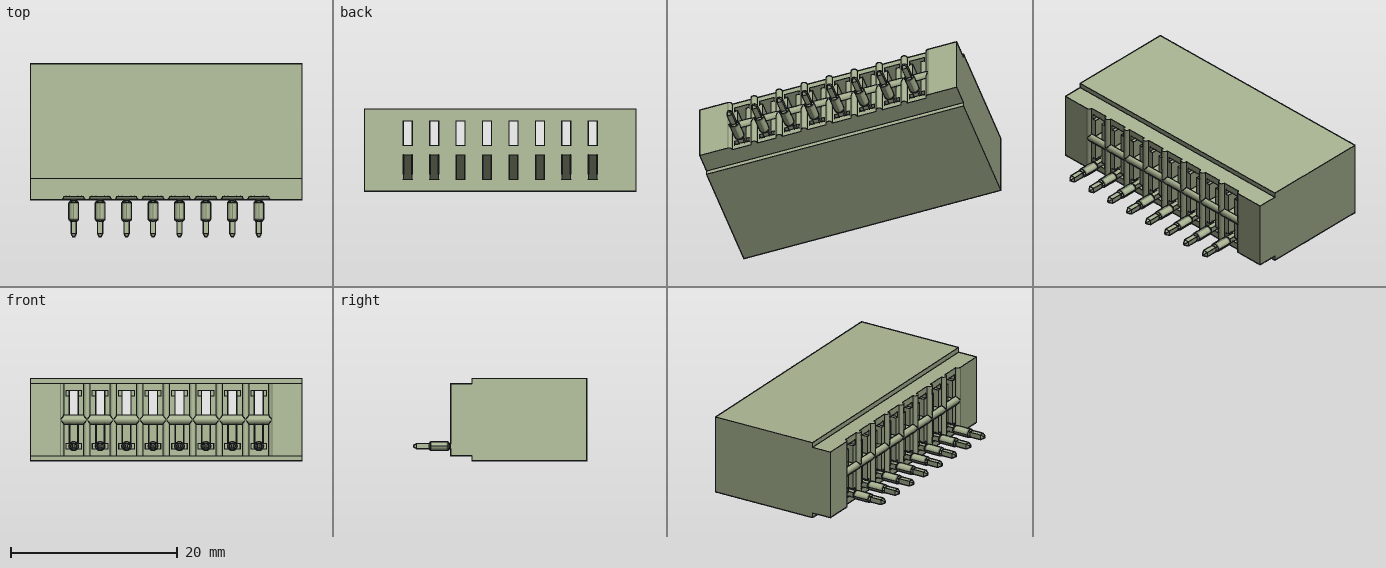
import cadquery as cq


contact_count = 8
pitch = 3.175
row_offset = 3.175
row_length = contact_count * pitch
cell_centres = [(i - (contact_count - 1) / 2) * pitch for i in range(contact_count)]

housing_length = 32.64
housing_height = 9.91
housing_depth = 16.37
step_depth = 2.54
step_drop = 0.62
nose_height = housing_height - 2 * step_drop

recess_depth = 0.42
rib_half_width = 0.39
bar_half_height = 0.57

slot_width = 1.05
arm_width = 1.90
arm_height = 0.64
arm_depth = 3.0
slot_outer = row_offset + arm_height / 2
slot_height = slot_outer - bar_half_height

tail_side = 0.64
tail_length = 4.45
tip_length = 0.38
tip_side = 0.25
collar_half_width = 0.60
collar_half_height = 0.55
collar_flank_bulge = 0.14
collar_start = 0.13
collar_end = 2.60
collar_taper = 0.20
collar_ease = 0.12
collar_ease_scale = 0.95
collar_end_scale = 0.62
contact_side_gap = 0.03
base_front = 1.0
leaf_end = 8.0
leaf_thickness = 0.40


def rounded_ridge(axis_plane, half_width, length):
    """Ridge centred on the plane origin, crest at Y = 0, foot at the recess floor."""
    return (
        cq.Workplane(axis_plane)
        .moveTo(-half_width, recess_depth)
        .threePointArc((0, 0), (half_width, recess_depth))
        .close()
        .extrude(length / 2, both=True)
    )


def box_at(size, centre):
    return cq.Workplane("XY").box(*size).translate(centre)


def make_housing():
    body = box_at(
        (housing_length, housing_depth, housing_height), (0, housing_depth / 2, 0)
    )
    for side in (1, -1):
        rebate_z = side * (housing_height - step_drop) / 2
        body = body.cut(
            box_at((housing_length, step_depth, step_drop), (0, step_depth / 2, rebate_z))
        )

    recess = box_at((row_length, recess_depth, nose_height), (0, recess_depth / 2, 0))
    rib = rounded_ridge("XY", rib_half_width, nose_height)
    for i in range(contact_count + 1):
        recess = recess.cut(rib.translate(((i - contact_count / 2) * pitch, 0, 0)))
    bar_plane = cq.Plane(origin=(0, 0, 0), xDir=(0, 0, 1), normal=(-1, 0, 0))
    recess = recess.cut(rounded_ridge(bar_plane, bar_half_height, row_length))
    body = body.cut(recess)

    for x in cell_centres:
        for side in (1, -1):
            slot_z = side * (slot_outer - slot_height / 2)
            slot = box_at(
                (slot_width, housing_depth, slot_height), (x, housing_depth / 2, slot_z)
            )
            arm = box_at(
                (arm_width, arm_depth, arm_height), (x, arm_depth / 2, side * row_offset)
            )
            body = body.cut(slot).cut(arm)
    return body


def collar_section(distance, scale):
    """Four-cornered outline of bulged quarters, at a distance from the housing face."""
    axis = cq.Vector(0, -distance, 0)
    across = cq.Vector(collar_half_width * scale, 0, 0)
    upward = cq.Vector(0, 0, collar_half_height * scale)
    corners = [axis + across, axis + upward, axis - across, axis - upward]
    arcs = []
    for start, end in zip(corners, corners[1:] + corners[:1]):
        chord_middle = (start + end) / 2
        bulge = (chord_middle - axis).normalized() * (collar_flank_bulge * scale)
        arcs.append(cq.Edge.makeThreePointArc(start, chord_middle + bulge, end))
    return cq.Wire.assembleEdges(arcs)


def make_collar():
    sections = [
        (collar_start, collar_end_scale),
        (collar_start + collar_taper, collar_ease_scale),
        (collar_start + collar_taper + collar_ease, 1),
        (collar_end - collar_taper - collar_ease, 1),
        (collar_end - collar_taper, collar_ease_scale),
        (collar_end, collar_end_scale),
    ]
    wires = [collar_section(distance, scale) for distance, scale in sections]
    return cq.Workplane(cq.Solid.makeLoft(wires, True))


def make_contact():
    """Contact at X = 0 with its tail axis on Z = 0."""
    base = box_at(
        (arm_width - 2 * contact_side_gap, arm_depth - base_front, arm_height),
        (0, (base_front + arm_depth) / 2, 0),
    )
    leaf_top = row_offset - bar_half_height
    leaf = (
        cq.Workplane("YZ")
        .moveTo(arm_depth - leaf_thickness, arm_height / 2)
        .lineTo(leaf_end - leaf_thickness, leaf_top)
        .lineTo(leaf_end, leaf_top)
        .lineTo(arm_depth, -arm_height / 2)
        .lineTo(arm_depth - leaf_thickness, -arm_height / 2)
        .close()
        .extrude(slot_width / 2 - contact_side_gap, both=True)
    )
    shank_end = tail_length - tip_length
    wire = box_at(
        (tail_side, shank_end + base_front, tail_side), (0, (base_front - shank_end) / 2, 0)
    )
    tip = (
        cq.Workplane("XZ", origin=(0, -shank_end, 0))
        .rect(tail_side, tail_side)
        .workplane(offset=tip_length)
        .rect(tip_side, tip_side)
        .loft()
    )
    collar = make_collar()
    return base.union(leaf).union(wire).union(tip).union(collar)


housing = make_housing()
contact = make_contact().val()
contacts = [contact.translate(cq.Vector(x, 0, -row_offset)) for x in cell_centres]

result = cq.Compound.makeCompound([housing.val(), *contacts])